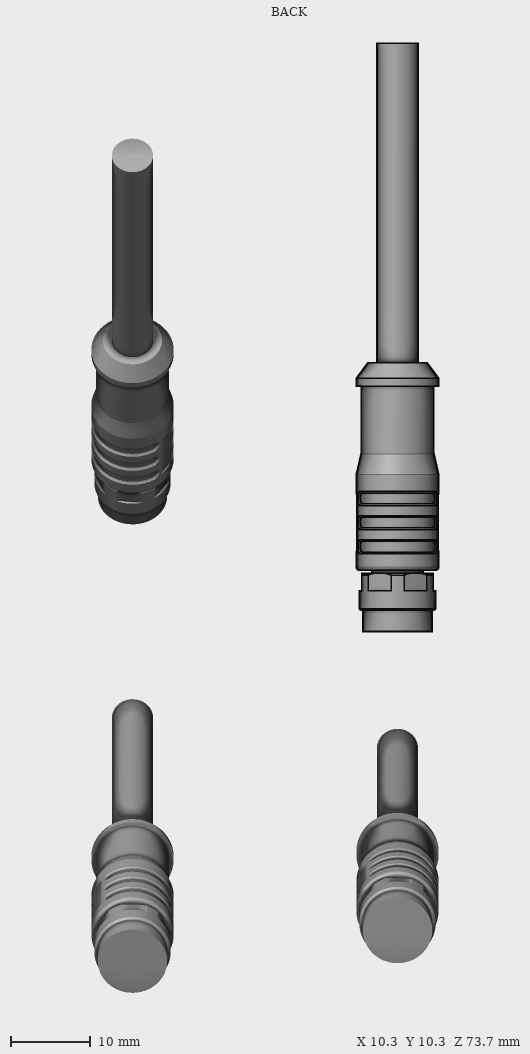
import cadquery as cq

total_length = 73.7

cable_radius = 2.6
cable_length = 40.0

grip_radius = 5.15
cap_top_radius = 3.7
cap_cone_height = 2.0
cap_rim_height = 0.95
barrel_radius = 4.6
barrel_length = 8.5
shoulder_height = 2.6
grip_bottom = 7.7
grip_bottom_fillet = 0.45

neck_radius = 3.25

nut_radius = 4.8
nut_top = 7.3
nut_bottom = 2.65
nut_chamfer = 0.2
flat_count = 6
flat_apothem = 4.5
flat_height = 2.2
nose_radius = 4.35

groove_count = 3
groove_pitch = 3.0
groove_width = 1.8
groove_depth = 0.3
groove_chamfer = 0.2
groove_end_offset = 1.2
middle_groove_z = 13.6

panel_width = 1.6
panel_height = 7.2
panel_depth = 0.15

clearance = 0.75

cap_top = total_length - cable_length
rim_top = cap_top - cap_cone_height
rim_bottom = rim_top - cap_rim_height
barrel_bottom = rim_bottom - barrel_length
grip_top = barrel_bottom - shoulder_height


def make_turned_body():
    """Cable, grip, neck, nut and nose as one revolved half profile."""
    profile = [
        (0, 0),
        (nose_radius, 0),
        (nose_radius, nut_bottom),
        (nut_radius - nut_chamfer, nut_bottom),
        (nut_radius, nut_bottom + nut_chamfer),
        (nut_radius, nut_top - nut_chamfer),
        (nut_radius - nut_chamfer, nut_top),
        (neck_radius, nut_top),
        (neck_radius, grip_bottom),
        (grip_radius, grip_bottom),
        (grip_radius, grip_top),
        (barrel_radius, barrel_bottom),
        (barrel_radius, rim_bottom),
        (grip_radius, rim_bottom),
        (grip_radius, rim_top),
        (cap_top_radius, cap_top),
        (cable_radius, cap_top),
        (cable_radius, total_length),
        (0, total_length),
    ]
    body = cq.Workplane("XZ").polyline(profile).close().revolve(360, (0, 0, 0), (0, 1, 0))
    rims = body.edges(cq.selectors.RadiusNthSelector(-1))
    return rims.edges("<Z").fillet(grip_bottom_fillet)


def make_nut_flats():
    """Material outside a hexagon at the top of the nut, one flat facing -X."""
    ring = cq.Workplane("XY").circle(nut_radius + clearance).extrude(flat_height)
    hexagon = cq.Workplane("XY").polygon(flat_count, 2 * flat_apothem, circumscribed=True).extrude(flat_height)
    return ring.cut(hexagon).translate((0, 0, nut_top - flat_height))


def make_groove(center_z, side):
    """Round-ended groove wrapping one side of the grip; side is +1 or -1 along Y."""
    floor_radius = grip_radius - groove_depth
    outer_radius = grip_radius + clearance
    ring = cq.Workplane("XY").circle(outer_radius).circle(floor_radius).extrude(groove_width)
    ring = ring.translate((0, 0, -groove_width / 2))
    end_center = groove_end_offset + groove_width / 2
    slot = (
        cq.Workplane("YZ")
        .moveTo(outer_radius + clearance, -groove_width / 2)
        .lineTo(end_center, -groove_width / 2)
        .threePointArc((groove_end_offset, 0), (end_center, groove_width / 2))
        .lineTo(outer_radius + clearance, groove_width / 2)
        .close()
        .extrude(outer_radius, both=True)
    )
    groove = ring.intersect(slot)
    groove_floor = groove.faces(cq.selectors.NearestToPointSelector((0, 0, 0)))
    groove = groove_floor.edges().chamfer(groove_chamfer)
    turn = 0 if side > 0 else 180
    return groove.rotate((0, 0, 0), (0, 0, 1), turn).translate((0, 0, center_z))


def make_panel(side):
    """Shallow flat-bottomed recess facing X; side is +1 or -1."""
    depth = panel_depth + clearance
    center_x = side * (grip_radius - panel_depth + depth / 2)
    return cq.Workplane("XY").box(depth, panel_width, panel_height).translate((center_x, 0, middle_groove_z))


result = make_turned_body().cut(make_nut_flats())
for side in (1, -1):
    result = result.cut(make_panel(side))
    for index in range(groove_count):
        groove_z = middle_groove_z + (index - (groove_count - 1) / 2) * groove_pitch
        result = result.cut(make_groove(groove_z, side))